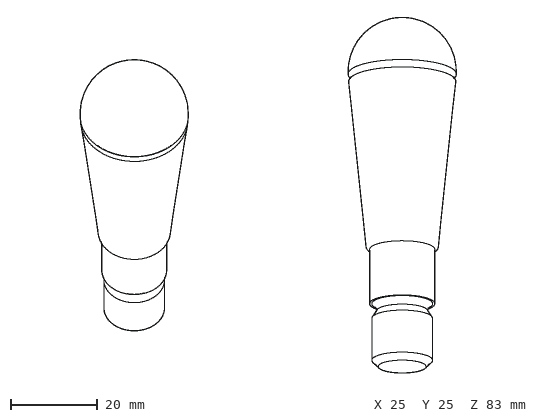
import cadquery as cq
import math

total_height = 83.0
ball_radius = 12.49

pin_radius = 14.0 / 2
pin_chamfer = 1.5
groove_bottom = 11.5
groove_top = 15.0
groove_middle = (groove_bottom + groove_top) / 2
groove_floor_radius = 11.8 / 2
collar_radius = 15.0 / 2

grip_bottom = 28.0
grip_round_height = 1.0
grip_foot_radius = 8.4
grip_top_radius = 12.4
grip_top = 68.15

head_bottom = 69.9
neck_depth = 0.5
neck_middle = (grip_top + head_bottom) / 2
neck_floor_radius = grip_top_radius - neck_depth

ball_center = total_height - ball_radius
head_edge_radius = math.sqrt(ball_radius**2 - (ball_center - head_bottom) ** 2)

diagonal = math.sqrt(0.5)
round_width = grip_foot_radius - collar_radius
round_mid_radius = collar_radius + round_width * diagonal
round_mid_height = grip_bottom + grip_round_height * (1 - diagonal)

groove_depth = pin_radius - groove_floor_radius
groove_arc_rise = groove_top - groove_middle
groove_arc_radius = (groove_depth**2 + groove_arc_rise**2) / (2 * groove_depth)
groove_arc_half_angle = math.asin(groove_arc_rise / groove_arc_radius) / 2
groove_arc_mid_radius = groove_floor_radius + groove_arc_radius * (1 - math.cos(groove_arc_half_angle))
groove_arc_mid_height = groove_middle + groove_arc_radius * math.sin(groove_arc_half_angle)

profile = (
    cq.Workplane("XZ")
    .moveTo(0, 0)
    .lineTo(pin_radius - pin_chamfer, 0)
    .lineTo(pin_radius, pin_chamfer)
    .lineTo(pin_radius, groove_bottom)
    .lineTo(groove_floor_radius, groove_middle)
    .threePointArc((groove_arc_mid_radius, groove_arc_mid_height), (pin_radius, groove_top))
    .lineTo(collar_radius, groove_top)
    .lineTo(collar_radius, grip_bottom)
    .threePointArc(
        (round_mid_radius, round_mid_height),
        (grip_foot_radius, grip_bottom + grip_round_height),
    )
    .lineTo(grip_top_radius, grip_top)
    .threePointArc((neck_floor_radius, neck_middle), (head_edge_radius, head_bottom))
    .threePointArc(
        (ball_radius * diagonal, ball_center + ball_radius * diagonal),
        (0, total_height),
    )
    .close()
)

result = profile.revolve(360, (0, 0, 0), (0, 1, 0))